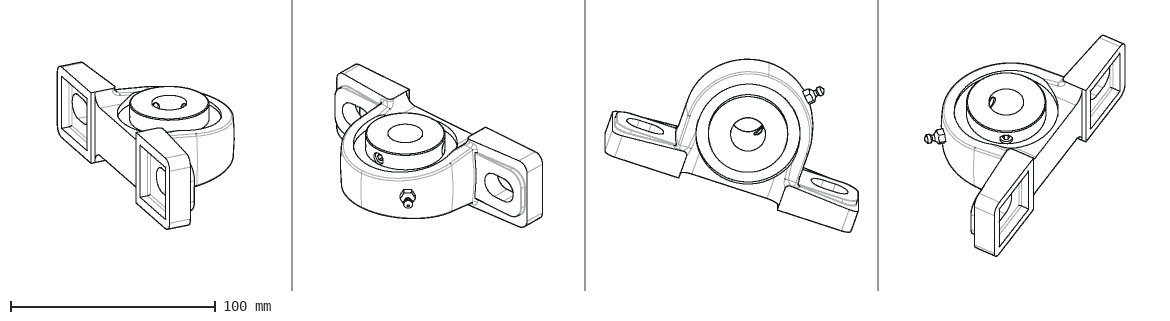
import cadquery as cq
import math


BASE_LENGTH = 127.0
BASE_WIDTH = 38.0
FOOT_INNER_X = 25.4
FOOT_INNER_HEIGHT = 13.9
FOOT_SLOPE = 4.0
FOOT_CORNER_RADIUS = 5.0
WEB_UNDERSIDE_Y = 2.1
WEB_HALF_THICKNESS = 12.8
WEB_FILLET = 6.0

FOOT_WALL = 5.0
RECESS_LENGTH = 28.4
RECESS_DEPTH = 5.0
RECESS_FILLET = 1.0
SLOT_LENGTH = 19.0
SLOT_WIDTH = 12.8
SLOT_CENTRE_X = 47.5
PAD_TOP_Y = 14.1
PAD_INNER_X = 30.6
PAD_OUTER_X = 62.2
PAD_HALF_WIDTH = 13.2
PAD_CORNER_RADIUS = 7.65
PAD_EDGE_FILLET = 0.25
PAD_ROOT_FILLET = 0.3

SHAFT_HEIGHT = 30.2
HOUSING_RADIUS = 61.96 - SHAFT_HEIGHT
HOUSING_ROOT_Y = 8.0
HOUSING_CROWN_RADIUS = 110.0
HOUSING_MID_HALF_THICKNESS = 14.1
HOUSING_FACE_DRAFT = 6.5
HOUSING_EDGE_FILLET = 1.0
HOUSING_FOOT_FILLET = 1.8
ROOT_MARGIN = 1.0
SHOULDER_FILLET = 2.2
SEAT_RADIUS = 25.4
SEAT_FLOOR_Z = 9.5

INSERT_RADIUS = 19.4
INSERT_BOTTOM_Z = -12.7
INSERT_TOP_Z = 18.3
INSERT_CHAMFER = 0.5
BORE_DIAMETER = 17.0

SCREW_ANGLES = (90.0, 210.0)
SCREW_Z = 12.7
SCREW_DIAMETER = 6.2
SCREW_SINK = 1.4
SCREW_SOCKET_FLATS = 3.0
SCREW_SOCKET_DEPTH = 2.5
SCREW_TIP_RECESS = 0.3

NIPPLE_ANGLE = 135.0
NIPPLE_Z = 2.5
NIPPLE_TIP_RADIUS = 41.2
NIPPLE_HEX_FLATS = 6.5
NIPPLE_HEAD_RADIUS = 2.2
NIPPLE_RIM_RADIUS = 1.9
NIPPLE_NECK_RADIUS = 1.5
NIPPLE_TIP_FLAT_RADIUS = 0.5
NIPPLE_TIP_LENGTH = 1.2
NIPPLE_HEAD_LENGTH = 1.7
NIPPLE_RIM_LENGTH = 0.8
NIPPLE_NECK_LENGTH = 1.2
NIPPLE_CONE_LENGTH = 1.9
NIPPLE_ROOT = 3.0

HALF_LENGTH = BASE_LENGTH / 2
HALF_WIDTH = BASE_WIDTH / 2
FOOT_RISE = math.tan(math.radians(FOOT_SLOPE))
FOOT_OUTER_HEIGHT = FOOT_INNER_HEIGHT - (HALF_LENGTH - FOOT_INNER_X) * FOOT_RISE


def both_sides(solid, plane):
    """The solid together with its mirror image."""
    return solid.union(solid.mirror(plane))


def radial_plane(angle, z, radius):
    """Plane facing outwards along a radius from the shaft axis."""
    a = math.radians(angle)
    normal = (math.cos(a), math.sin(a), 0)
    origin = (radius * normal[0], SHAFT_HEIGHT + radius * normal[1], z)
    return cq.Plane(origin=origin, xDir=(0, 0, 1), normal=normal)


def shaft_cylinder(radius, z_low, z_high):
    """Cylinder about the shaft axis between two heights."""
    return cq.Workplane("XY", origin=(0, SHAFT_HEIGHT, z_low)).circle(radius).extrude(z_high - z_low)


def make_foot():
    """Right foot, sloping on top, with its half of the bridge raised clear of the mounting face."""
    return (
        cq.Workplane("XY", origin=(0, 0, -HALF_WIDTH))
        .moveTo(0, WEB_UNDERSIDE_Y)
        .lineTo(FOOT_INNER_X, WEB_UNDERSIDE_Y)
        .lineTo(FOOT_INNER_X, 0)
        .lineTo(HALF_LENGTH, 0)
        .lineTo(HALF_LENGTH, FOOT_OUTER_HEIGHT)
        .lineTo(0, FOOT_INNER_HEIGHT + FOOT_INNER_X * FOOT_RISE)
        .close()
        .extrude(BASE_WIDTH)
        .edges("|Y and >X")
        .fillet(FOOT_CORNER_RADIUS)
    )


def make_padded_end():
    """Outer stretch of the right foot with its raised bolt pad, rounded at the outer end."""
    length = PAD_OUTER_X - PAD_INNER_X
    pad = (
        cq.Workplane("XY")
        .box(length, PAD_TOP_Y - RECESS_DEPTH, 2 * PAD_HALF_WIDTH, centered=(False, False, True))
        .translate((PAD_INNER_X, RECESS_DEPTH, 0))
        .edges("|Y and >X")
        .fillet(PAD_CORNER_RADIUS)
        .faces(">Y")
        .edges("not <X")
        .fillet(PAD_EDGE_FILLET)
    )
    outer_zone = (
        cq.Workplane("XY")
        .box(HALF_LENGTH, BASE_LENGTH, BASE_WIDTH, centered=(False, True, True))
        .translate((PAD_INNER_X, 0, 0))
    )
    foot_end = make_foot().intersect(outer_zone)
    pad_root = cq.selectors.BoxSelector(
        (PAD_INNER_X + PAD_EDGE_FILLET, RECESS_DEPTH, -PAD_HALF_WIDTH - PAD_EDGE_FILLET),
        (PAD_OUTER_X + PAD_EDGE_FILLET, PAD_TOP_Y - 2 * PAD_EDGE_FILLET, PAD_HALF_WIDTH + PAD_EDGE_FILLET),
    )
    padded = foot_end.union(pad)
    return padded.edges(pad_root).edges("not |Y").fillet(PAD_ROOT_FILLET)


def crowned_section():
    """Right half of the section through the housing at shaft height, with a bulging outer side."""
    crown_drop = HOUSING_CROWN_RADIUS - math.sqrt(HOUSING_CROWN_RADIUS**2 - HALF_WIDTH**2)
    edge_x = HOUSING_RADIUS - crown_drop
    return (
        cq.Workplane("XZ", origin=(0, SHAFT_HEIGHT, 0))
        .moveTo(0, -HALF_WIDTH)
        .lineTo(edge_x, -HALF_WIDTH)
        .threePointArc((HOUSING_RADIUS, 0), (edge_x, HALF_WIDTH))
        .lineTo(0, HALF_WIDTH)
        .close()
    )


def make_housing():
    """Arched housing with crowned sides, cut by two faces that converge towards the top."""
    round_top = crowned_section().revolve(180, (0, 0, 0), (0, 1, 0))
    side = crowned_section().extrude(SHAFT_HEIGHT - HOUSING_ROOT_Y)
    crowned = round_top.union(both_sides(side, "YZ"))
    top_y = SHAFT_HEIGHT + HOUSING_RADIUS

    def half_thickness(y):
        return HOUSING_MID_HALF_THICKNESS - (y - SHAFT_HEIGHT) * math.tan(math.radians(HOUSING_FACE_DRAFT))

    root = half_thickness(0)
    tip = half_thickness(top_y)
    wedge = (
        cq.Workplane("YZ")
        .polyline([(0, -root), (top_y, -tip), (top_y, tip), (0, root)])
        .close()
        .extrude(HOUSING_RADIUS, both=True)
    )
    arch = crowned.intersect(wedge)
    return arch.faces(">Z or <Z").edges().fillet(HOUSING_EDGE_FILLET)


def make_face_channel():
    """Cutter that thins the bridge between the feet, with round inner corners."""
    depth = BASE_WIDTH
    channel = (
        cq.Workplane("XY")
        .box(2 * FOOT_INNER_X, SHAFT_HEIGHT, depth, centered=(True, False, False))
        .translate((0, 0, WEB_HALF_THICKNESS))
        .edges("|Y and <Z")
        .fillet(WEB_FILLET)
    )
    return both_sides(channel, "XY")


def make_seats():
    """Cutter for the round recesses around the insert."""
    return both_sides(shaft_cylinder(SEAT_RADIUS, SEAT_FLOOR_Z, HALF_WIDTH), "XY")


def make_foot_cuts():
    """Cutter for the recess under the right foot and the bolt slot through it."""
    recess = (
        cq.Workplane("XY")
        .box(RECESS_LENGTH, RECESS_DEPTH, BASE_WIDTH - 2 * FOOT_WALL, centered=(False, False, True))
        .translate((HALF_LENGTH - FOOT_WALL - RECESS_LENGTH, 0, 0))
        .edges(">Y")
        .fillet(RECESS_FILLET)
    )
    slot = (
        cq.Workplane("XZ", origin=(SLOT_CENTRE_X, 0, 0))
        .slot2D(SLOT_LENGTH, SLOT_WIDTH)
        .extrude(-2 * PAD_TOP_Y)
    )
    return recess.union(slot)


def make_insert():
    """Bearing insert, bored for the shaft and fitted with socket set screws."""
    insert = shaft_cylinder(INSERT_RADIUS, INSERT_BOTTOM_Z, INSERT_TOP_Z)
    insert = insert.faces(">Z").edges().chamfer(INSERT_CHAMFER)
    insert = insert.cut(shaft_cylinder(BORE_DIAMETER / 2, INSERT_BOTTOM_Z, INSERT_TOP_Z))
    for angle in SCREW_ANGLES:
        insert = insert.cut(make_screw_cuts(angle))
    return insert


def make_screw_cuts(angle):
    """Hole mouth, hexagon socket and inner end recess of one set screw."""
    mouth = cq.Workplane(radial_plane(angle, SCREW_Z, INSERT_RADIUS))
    mouth = mouth.circle(SCREW_DIAMETER / 2).extrude(-SCREW_SINK)
    socket_plane = cq.Workplane(radial_plane(angle, SCREW_Z, INSERT_RADIUS - SCREW_SINK))
    socket = socket_plane.polygon(6, SCREW_SOCKET_FLATS, circumscribed=True).extrude(-SCREW_SOCKET_DEPTH)
    tip_radius = BORE_DIAMETER / 2 + SCREW_TIP_RECESS
    tip = cq.Workplane(radial_plane(angle, SCREW_Z, 0)).circle(SCREW_DIAMETER / 2).extrude(tip_radius)
    return mouth.union(socket).union(tip)


def make_nipple():
    """Grease nipple: a turned head trimmed by a hexagon, standing radially on the housing."""
    tip = NIPPLE_TIP_RADIUS
    head_top = tip - NIPPLE_TIP_LENGTH
    head_end = head_top - NIPPLE_HEAD_LENGTH
    rim_end = head_end - NIPPLE_RIM_LENGTH
    neck_end = rim_end - NIPPLE_NECK_LENGTH
    cone_end = neck_end - NIPPLE_CONE_LENGTH
    hex_corner_radius = NIPPLE_HEX_FLATS / math.sqrt(3)
    root = HOUSING_RADIUS - NIPPLE_ROOT
    axis_plane = radial_plane(NIPPLE_ANGLE, NIPPLE_Z, 0)
    turned = (
        cq.Workplane("XZ")
        .moveTo(0, root)
        .lineTo(hex_corner_radius, root)
        .lineTo(hex_corner_radius, cone_end)
        .lineTo(NIPPLE_NECK_RADIUS, neck_end)
        .lineTo(NIPPLE_NECK_RADIUS, rim_end)
        .lineTo(NIPPLE_RIM_RADIUS, head_end)
        .lineTo(NIPPLE_HEAD_RADIUS, head_end)
        .lineTo(NIPPLE_HEAD_RADIUS, head_top)
        .lineTo(NIPPLE_TIP_FLAT_RADIUS, tip)
        .lineTo(0, tip)
        .close()
        .revolve(360, (0, 0, 0), (0, 1, 0))
    )
    hexagon = (
        cq.Workplane("XY", origin=(0, 0, root))
        .polygon(6, NIPPLE_HEX_FLATS, circumscribed=True)
        .extrude(tip - root)
    )
    nipple = turned.intersect(hexagon).val().moved(cq.Location(axis_plane))
    return cq.Workplane(nipple)


def make_right_half():
    """Right half of the casting, with its foot and housing blended together."""
    half_space = cq.Workplane("XY").box(BASE_LENGTH, BASE_LENGTH, BASE_WIDTH).translate((HALF_LENGTH, 0, 0))
    half = make_foot().union(make_housing().intersect(half_space))
    root_zone = cq.selectors.BoxSelector(
        (ROOT_MARGIN, FOOT_OUTER_HEIGHT, -HALF_WIDTH + ROOT_MARGIN),
        (HOUSING_RADIUS + ROOT_MARGIN, FOOT_INNER_HEIGHT + 2 * ROOT_MARGIN, HALF_WIDTH - ROOT_MARGIN),
    )
    half = half.edges(root_zone).fillet(HOUSING_FOOT_FILLET)
    half = half.cut(make_face_channel())
    shoulder_zone = cq.selectors.BoxSelector(
        (FOOT_INNER_X - WEB_FILLET + ROOT_MARGIN, FOOT_INNER_HEIGHT + ROOT_MARGIN, -HALF_WIDTH),
        (FOOT_INNER_X + ROOT_MARGIN, SHAFT_HEIGHT - ROOT_MARGIN, HALF_WIDTH),
    )
    half = half.edges(shoulder_zone).fillet(SHOULDER_FILLET)
    return half.union(make_padded_end()).cut(make_foot_cuts())


def make_casting():
    """Both halves of the casting as one, with the seat for the insert cut into it."""
    casting = both_sides(make_right_half(), "YZ").cut(make_seats())
    return casting.cut(shaft_cylinder(INSERT_RADIUS, -HALF_WIDTH, HALF_WIDTH))


result = make_casting().union(make_insert()).union(make_nipple())